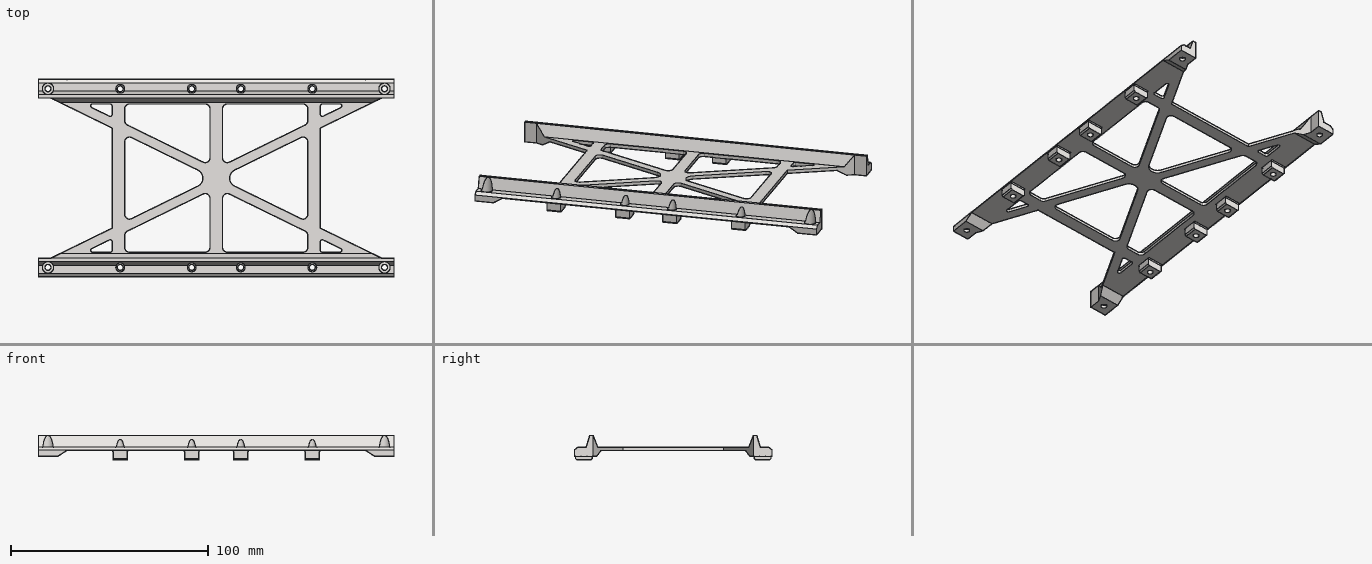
import cadquery as cq

length = 180.0
width = 100.0

foot_bottom = 1.8
plate_bottom = 4.7
plate_top = 6.5
wall_top = 12.5

edge_bevel = 1.8
edge_height = 0.4
wall_base_outer = 6.0
wall_top_outer = 7.7
wall_top_inner = 9.5
wall_base_inner = 11.9

foot_length_bottom = 9.9
foot_length_top = 14.4
foot_width = 16.2

bar_width = 6.5
cross_bar_outer = 52.7
diagonal_slope = 0.49
diagonal_lower_offset = -0.5
diagonal_upper_offset = 4.9
window_edge = 12.6
window_radius = 2.3
corner_window_radius = 0.9
hub_radius = 4.5

hole_inset = 4.9
hole_diameter = 2.9
end_hole_x = 85.1
inner_hole_x = (12.5, 48.6)
end_bore_diameter = 5.8
inner_bore_diameter = 4.5
bore_floor = 3.6
pad_length = 7.2
pad_width = 8.6
pad_bevel = 0.7
pad_root_flare = 0.5

half_length = length / 2
half_width = width / 2
rail_inner_y = half_width - wall_top_inner
window_y = half_width - window_edge
hole_y = half_width - hole_inset
cross_bar_inner = cross_bar_outer - bar_width


def diagonal_y(x, offset):
    """Y of a diagonal bar edge in the +X +Y quarter."""
    return diagonal_slope * x + offset


def diagonal_x(y, offset):
    """X of a diagonal bar edge in the +X +Y quarter."""
    return (y - offset) / diagonal_slope


def prism(points, bottom, top):
    """Vertical prism over a closed XY outline."""
    return cq.Workplane("XY").workplane(offset=bottom).polyline(points).close().extrude(top - bottom)


def in_both_rails(solid):
    """The solid together with its mirror image across the XZ plane."""
    return solid.union(solid.mirror("XZ"))


def at_both_ends(solid):
    """The solid together with its mirror image across the YZ plane."""
    return solid.union(solid.mirror("YZ"))


def in_all_quarters(solid):
    """The solid together with its mirror images across the XZ and YZ planes."""
    return in_both_rails(at_both_ends(solid))


def make_rail():
    """Bevelled strip with a tapered wall standing on it, along the +Y side."""
    section = [
        (half_width, plate_bottom),
        (half_width, plate_bottom + edge_height),
        (half_width - edge_bevel, plate_top),
        (half_width - wall_base_outer, plate_top),
        (half_width - wall_top_outer, wall_top),
        (half_width - wall_top_inner, wall_top),
        (half_width - wall_base_inner, plate_top),
        (half_width - wall_base_inner, plate_bottom),
    ]
    return cq.Workplane("YZ").polyline(section).close().extrude(half_length, both=True)


def make_foot():
    """Foot under the +X end of the +Y rail."""
    side = [
        (half_length, plate_bottom),
        (half_length, foot_bottom),
        (half_length - foot_length_bottom, foot_bottom),
        (half_length - foot_length_top, plate_bottom),
    ]
    foot = cq.Workplane("XZ").polyline(side).close().extrude(-foot_width)
    return foot.translate((0, half_width - foot_width, 0))


def make_outline():
    """Waisted outer boundary, full height: straight rail ends, then diagonals to the cross bars."""
    waist_y = diagonal_y(cross_bar_outer, diagonal_lower_offset)
    rail_end_x = diagonal_x(rail_inner_y, diagonal_lower_offset)
    right_half = [
        (half_length, -half_width),
        (half_length, -rail_inner_y),
        (rail_end_x, -rail_inner_y),
        (cross_bar_outer, -waist_y),
        (cross_bar_outer, waist_y),
        (rail_end_x, rail_inner_y),
        (half_length, rail_inner_y),
        (half_length, half_width),
    ]
    left_half = [(-x, -y) for x, y in right_half]
    return prism(right_half + left_half, 0, wall_top)


def make_corner_window():
    """Small triangular window outside the cross bar."""
    corners = [
        (cross_bar_outer, window_y),
        (cross_bar_outer, diagonal_y(cross_bar_outer, diagonal_upper_offset)),
        (diagonal_x(window_y, diagonal_upper_offset), window_y),
    ]
    return prism(corners, 0, wall_top).edges("|Z").fillet(corner_window_radius)


def make_rail_window():
    """Window between the rail, the middle bar, the cross bar and a diagonal."""
    middle_bar_edge = bar_width / 2
    corners = [
        (middle_bar_edge, window_y),
        (middle_bar_edge, diagonal_y(middle_bar_edge, diagonal_upper_offset)),
        (cross_bar_inner, diagonal_y(cross_bar_inner, diagonal_upper_offset)),
        (cross_bar_inner, window_y),
    ]
    return prism(corners, 0, wall_top).edges("|Z").fillet(window_radius)


def make_side_window():
    """Triangular window between two diagonals, well rounded at the hub."""
    corner_y = diagonal_y(cross_bar_inner, diagonal_lower_offset)
    apex_x = diagonal_x(0, diagonal_lower_offset)
    corners = [(apex_x, 0), (cross_bar_inner, corner_y), (cross_bar_inner, -corner_y)]
    window = prism(corners, 0, wall_top).edges("|Z and <X").fillet(hub_radius)
    return window.edges("|Z and >X").fillet(window_radius)


def make_pad(x):
    """Pad under an inner screw hole, bevelled below and flared where it meets the rail."""
    pad = (
        cq.Workplane("XY")
        .box(pad_length, pad_width, plate_bottom, centered=(True, True, False))
        .faces("<Z").edges("|X").chamfer(pad_bevel)
    )
    root = (
        cq.Workplane("XZ")
        .moveTo(-pad_length / 2, plate_bottom - pad_root_flare)
        .lineTo(pad_length / 2, plate_bottom - pad_root_flare)
        .lineTo(pad_length / 2 + pad_root_flare, plate_bottom)
        .lineTo(-pad_length / 2 - pad_root_flare, plate_bottom)
        .close()
        .extrude(pad_width / 2, both=True)
    )
    return pad.union(root).translate((x, hole_y, 0))


def make_screw_hole(x, bore_diameter):
    """Through hole with a counterbore that also cuts into the wall."""
    centre = cq.Workplane("XY").center(x, hole_y)
    hole = centre.circle(hole_diameter / 2).extrude(wall_top)
    bore = centre.workplane(offset=bore_floor).circle(bore_diameter / 2).extrude(wall_top - bore_floor)
    return hole.union(bore)


def make_plate():
    """Solid web between the rails, before the windows are cut."""
    blank = cq.Workplane("XY").workplane(offset=plate_bottom).rect(length, 2 * rail_inner_y)
    return blank.extrude(plate_top - plate_bottom)


result = make_plate().union(in_both_rails(make_rail())).union(in_all_quarters(make_foot()))
result = result.intersect(make_outline())

result = result.cut(in_all_quarters(make_corner_window()))
result = result.cut(in_all_quarters(make_rail_window()))
result = result.cut(at_both_ends(make_side_window()))

for hole_x in inner_hole_x:
    result = result.union(in_all_quarters(make_pad(hole_x)))
    result = result.cut(in_all_quarters(make_screw_hole(hole_x, inner_bore_diameter)))
result = result.cut(in_all_quarters(make_screw_hole(end_hole_x, end_bore_diameter)))